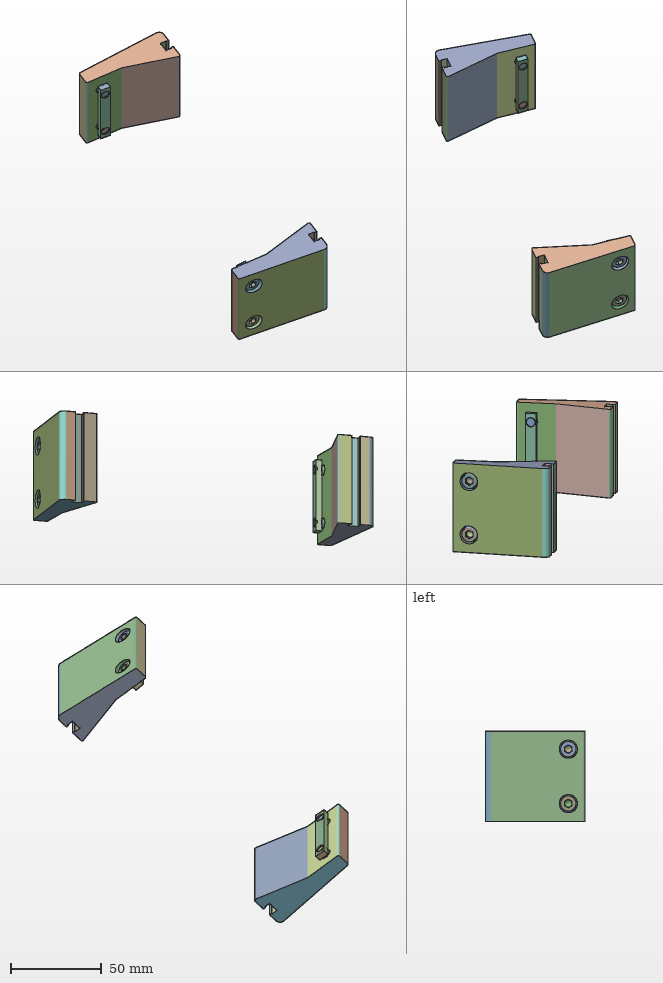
import cadquery as cq
import math

TOTAL_WIDTH = 185.3
DEPTH = 55.0
HEIGHT = 50.0
BACK_Y = DEPTH / 2
FRONT_Y = -DEPTH / 2

JAW_WIDTH = 21.7
OUTER_TAPER_DEGREES = 5
INNER_FACE_OFFSET = 13.0
TAPER_LENGTH = 32.5
BACK_OUTER_RADIUS = 3.0
SMALL_RADIUS = 1.0
OUTER_X = -TOTAL_WIDTH / 2
INNER_FACE_X = OUTER_X + INNER_FACE_OFFSET

SLOT_CENTRE_OFFSET = 11.0
SLOT_MOUTH_WIDTH = 5.0
SLOT_INNER_WIDTH = 6.1
SLOT_LIP = 1.5
SLOT_DEPTH = 5.0

BAR_GAP = 1.7
BAR_WIDTH = 6.0
BAR_BACK_THICKNESS = 3.5
BAR_FRONT_THICKNESS = 3.1
BAR_HEIGHT = 40.0
BAR_OUTER_X = INNER_FACE_X + BAR_GAP

SCREW_Y = FRONT_Y + 9.3
SCREW_SPACING = 30.0
SCREW_HEIGHTS = (-SCREW_SPACING / 2, SCREW_SPACING / 2)
SHANK_DIAMETER = 5.0
CLEARANCE_DIAMETER = 6.0
HEAD_DIAMETER = 8.5
HEAD_LENGTH = 5.0
HEAD_EDGE_RADIUS = 0.5
COUNTERBORE_DIAMETER = 10.0
HEAD_FACE_OFFSET = 4.8
SCREW_END_RECESS = 0.5
HEXAGON_SIDES = 6
SOCKET_ACROSS_FLATS = 4.0
SOCKET_DEPTH = 2.5
SOCKET_TIP_DEPTH = 1.1
HEAD_FACE_X = OUTER_X + HEAD_FACE_OFFSET
HEAD_SEAT_X = HEAD_FACE_X + HEAD_LENGTH
SCREW_END_X = BAR_OUTER_X + BAR_FRONT_THICKNESS - SCREW_END_RECESS


def x_cylinder(diameter, start_x, end_x, z):
    """Cylinder along X on a screw axis."""
    return (
        cq.Workplane("YZ", origin=(start_x, SCREW_Y, z))
        .circle(diameter / 2)
        .extrude(end_x - start_x)
    )


def jaw_block():
    """Tapered block with rounded upright edges."""
    taper = math.radians(OUTER_TAPER_DEGREES)
    corner_x = OUTER_X - BACK_OUTER_RADIUS * (math.tan(taper) + 1 / math.cos(taper) - 1)
    front_outer_x = corner_x + DEPTH * math.tan(taper)
    outline = [
        (corner_x, BACK_Y),
        (OUTER_X + JAW_WIDTH, BACK_Y),
        (INNER_FACE_X, BACK_Y - TAPER_LENGTH),
        (INNER_FACE_X, FRONT_Y),
        (front_outer_x, FRONT_Y),
    ]
    block = cq.Workplane("XY", origin=(0, 0, -HEIGHT / 2)).polyline(outline).close().extrude(HEIGHT)
    block = block.edges("|Z and >Y and <X").fillet(BACK_OUTER_RADIUS)
    block = block.edges("|Z and >X").fillet(SMALL_RADIUS)
    return block.edges("|Z and <Y").fillet(SMALL_RADIUS)


def back_slot():
    """Slot with a narrow mouth and a wider floor, running the full height."""
    centre_x = OUTER_X + SLOT_CENTRE_OFFSET
    inner_depth = SLOT_DEPTH - SLOT_LIP
    mouth = cq.Workplane("XY").box(SLOT_MOUTH_WIDTH, SLOT_DEPTH, HEIGHT)
    mouth = mouth.translate((centre_x, BACK_Y - SLOT_DEPTH / 2, 0))
    inner = cq.Workplane("XY").box(SLOT_INNER_WIDTH, inner_depth, HEIGHT)
    inner = inner.translate((centre_x, BACK_Y - SLOT_LIP - inner_depth / 2, 0))
    return mouth.union(inner)


def make_jaw():
    """Jaw with its back slot and two counterbored screw holes."""
    jaw = jaw_block().cut(back_slot())
    for z in SCREW_HEIGHTS:
        jaw = jaw.cut(x_cylinder(COUNTERBORE_DIAMETER, OUTER_X, HEAD_SEAT_X, z))
        jaw = jaw.cut(x_cylinder(CLEARANCE_DIAMETER, HEAD_SEAT_X, INNER_FACE_X, z))
    return jaw


def make_bar():
    """Clamping bar, thinner toward the front, with two screw holes."""
    outline = [
        (BAR_OUTER_X, SCREW_Y + BAR_WIDTH / 2),
        (BAR_OUTER_X + BAR_BACK_THICKNESS, SCREW_Y + BAR_WIDTH / 2),
        (BAR_OUTER_X + BAR_FRONT_THICKNESS, SCREW_Y - BAR_WIDTH / 2),
        (BAR_OUTER_X, SCREW_Y - BAR_WIDTH / 2),
    ]
    bar = cq.Workplane("XY", origin=(0, 0, -BAR_HEIGHT / 2)).polyline(outline).close().extrude(BAR_HEIGHT)
    for z in SCREW_HEIGHTS:
        bar = bar.cut(x_cylinder(SHANK_DIAMETER, BAR_OUTER_X, BAR_OUTER_X + BAR_BACK_THICKNESS, z))
    return bar


def hex_socket(z):
    """Hexagonal socket with upright corners and a conical floor."""
    across_corners = SOCKET_ACROSS_FLATS / math.cos(math.pi / HEXAGON_SIDES)
    hexagon = (
        cq.Workplane("YZ", origin=(HEAD_FACE_X, SCREW_Y, z))
        .transformed(rotate=(0, 0, 90))
        .polygon(HEXAGON_SIDES, across_corners)
        .extrude(SOCKET_DEPTH)
    )
    floor = cq.Solid.makeCone(
        SOCKET_ACROSS_FLATS / 2,
        0,
        SOCKET_TIP_DEPTH,
        cq.Vector(HEAD_FACE_X + SOCKET_DEPTH, SCREW_Y, z),
        cq.Vector(1, 0, 0),
    )
    return hexagon.union(cq.Workplane(floor))


def make_screw(z):
    """Socket head screw with a rounded head edge."""
    head = x_cylinder(HEAD_DIAMETER, HEAD_FACE_X, HEAD_SEAT_X, z)
    head = head.faces("<X").edges().fillet(HEAD_EDGE_RADIUS)
    shank = x_cylinder(SHANK_DIAMETER, HEAD_SEAT_X, SCREW_END_X, z)
    return head.union(shank).cut(hex_socket(z))


left_side = [make_jaw(), make_bar()]
for screw_z in SCREW_HEIGHTS:
    left_side.append(make_screw(screw_z))

right_side = [body.mirror("YZ") for body in left_side]

result = cq.Compound.makeCompound([body.val() for body in left_side + right_side])